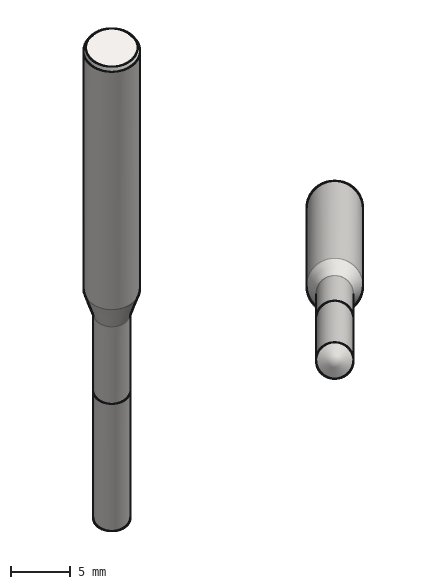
import cadquery as cq
import math

total_length = 59.5
shank_diameter = 4.75
drill_diameter = 3.15
neck_diameter = drill_diameter
point_angle = 130.0
cutter_length = 16.65
neck_length = 9.65
taper_length = 3.05
chamfer_width = 0.21
chamfer_height = 0.4

shank_radius = shank_diameter / 2
neck_radius = neck_diameter / 2
drill_radius = drill_diameter / 2
point_height = drill_radius / math.tan(math.radians(point_angle / 2))
taper_foot = cutter_length + neck_length
taper_top = taper_foot + taper_length


def revolve_profile(points):
    """Revolve a closed (radius, height) outline about the Z axis."""
    return (
        cq.Workplane("XZ")
        .polyline(points)
        .close()
        .revolve(360, (0, 0, 0), (0, 1, 0))
    )


def make_cutter():
    """Plain cylindrical cutting portion with a conical point."""
    return revolve_profile([
        (0, 0),
        (drill_radius, point_height),
        (drill_radius, cutter_length),
        (0, cutter_length),
    ])


def make_shank():
    """Shank with a chamfered end, tapering down to the neck."""
    return revolve_profile([
        (0, cutter_length),
        (neck_radius, cutter_length),
        (neck_radius, taper_foot),
        (shank_radius, taper_top),
        (shank_radius, total_length - chamfer_height),
        (shank_radius - chamfer_width, total_length),
        (0, total_length),
    ])


cutter = make_cutter()
shank = make_shank()

result = cq.Compound.makeCompound([cutter.val(), shank.val()])